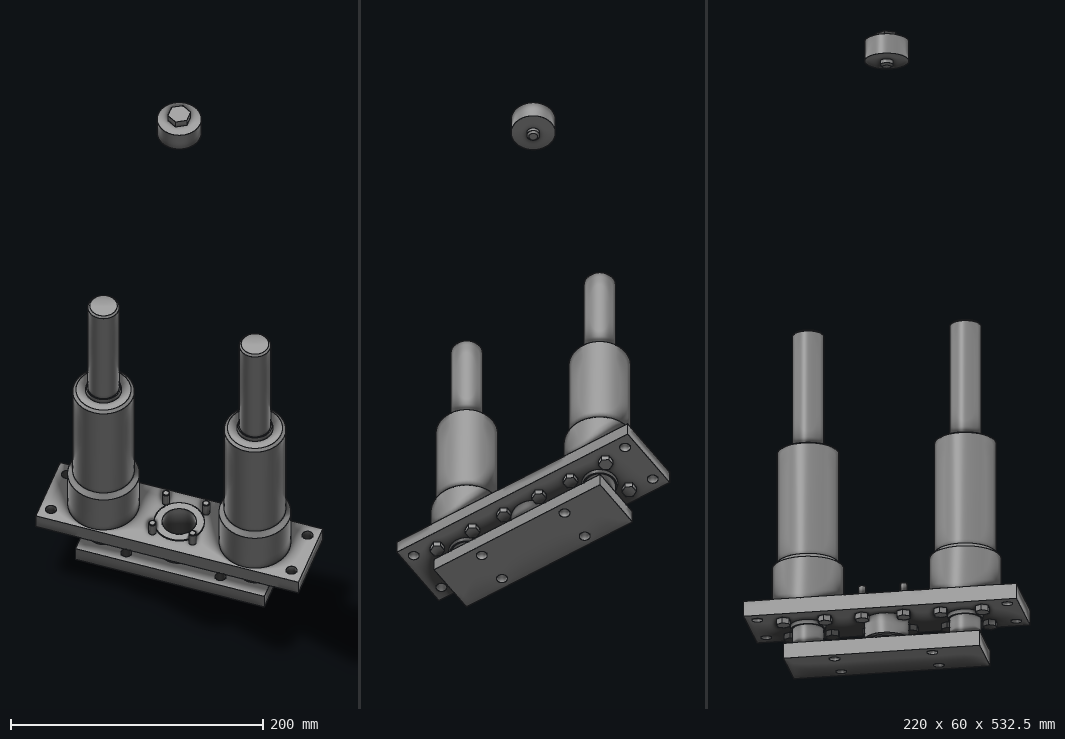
import cadquery as cq

MOVING_LENGTH = 158.0
MOVING_WIDTH = 46.5
PLATE_THICKNESS = 13.0
MOVING_HOLE_X = 39.5
MOVING_HOLE_Y = 14.5
PLATE_HOLE_DIAMETER = 8.5

ROD_X = 63.5
ROD_DIAMETER = 25.0
ROD_TOP = 282.0
ROD_CHAMFER = 1.5

PEDESTAL_DIAMETER = 21.0
PEDESTAL_TOP = 18.5

FIXED_LENGTH = 220.0
FIXED_WIDTH = 60.0
FIXED_BOTTOM = 35.0
FIXED_TOP = FIXED_BOTTOM + PLATE_THICKNESS
FIXED_HOLE_X = 100.5
FIXED_HOLE_Y = 19.5

BASE_DIAMETER = 57.0
BARREL_DIAMETER = 49.0
BASE_CHAMFER = (BASE_DIAMETER - BARREL_DIAMETER) / 2
BASE_TOP = 87.5
BARREL_TOP = 182.5
BARREL_BEVEL_HEIGHT = 1.5
BARREL_BEVEL_WIDTH = 2.5
SEAL_ROOT_DIAMETER = 29.0
SEAL_TIP_DIAMETER = 27.0
SEAL_HEIGHT = 3.0

BOSS_DIAMETER = 35.0
BOSS_BOTTOM = PEDESTAL_TOP
BOSS_BORE_DIAMETER = 27.0
RIM_DIAMETER = 40.0
RIM_HEIGHT = 1.0

SCREW_HEAD_FLATS = 10.0
SCREW_HEAD_HEIGHT = 5.0
SCREW_SHANK_DIAMETER = 6.0
SCREW_SHANK_TOP = 59.0
SCREW_TIP_CHAMFER = 0.5
SCREW_SPACING = 33.5

COUPLING_TOP = 532.5
COUPLING_DIAMETER = 35.0
COUPLING_HEIGHT = 16.5
HEX_ACROSS_FLATS = 16.0
HEX_HEIGHT = 6.0
PIN_DIAMETER = 10.0
PIN_HEIGHT = 5.0
PIN_CHAMFER = 1.5


def cylinder(diameter, bottom, top, x=0, y=0):
    """Upright cylinder between two heights."""
    return cq.Workplane("XY", origin=(x, y, bottom)).circle(diameter / 2).extrude(top - bottom)


def cone(bottom_diameter, top_diameter, bottom, top, x=0):
    """Upright truncated cone between two heights."""
    return (
        cq.Workplane("XY", origin=(x, 0, bottom))
        .circle(bottom_diameter / 2)
        .workplane(offset=top - bottom)
        .circle(top_diameter / 2)
        .loft()
    )


def hexagon(across_flats, height):
    """Upright hexagonal prism standing on Z = 0, two corners along Y."""
    return cq.Workplane("XY").polygon(6, across_flats, circumscribed=True).extrude(height)


def plate(length, width, bottom, hole_x, hole_y):
    """Centred rectangular plate with four through holes."""
    return (
        cq.Workplane("XY", origin=(0, 0, bottom))
        .rect(length, width)
        .extrude(PLATE_THICKNESS)
        .faces(">Z")
        .workplane()
        .rect(2 * hole_x, 2 * hole_y, forConstruction=True)
        .vertices()
        .hole(PLATE_HOLE_DIAMETER)
    )


def make_moving_plate():
    """Plate with the two guide rods and the centre pedestal."""
    body = plate(MOVING_LENGTH, MOVING_WIDTH, 0, MOVING_HOLE_X, MOVING_HOLE_Y)
    for x in (-ROD_X, ROD_X):
        rod = cylinder(ROD_DIAMETER, 0, ROD_TOP, x).faces(">Z").chamfer(ROD_CHAMFER)
        body = body.union(rod)
    return body.union(cylinder(PEDESTAL_DIAMETER, 0, PEDESTAL_TOP))


def bearing_barrel(x):
    """Stepped bearing barrel with a tapered seal at each end, still without its rod bore."""
    bevel_bottom = BARREL_TOP - BARREL_BEVEL_HEIGHT
    rim_diameter = BARREL_DIAMETER - 2 * BARREL_BEVEL_WIDTH
    base = cylinder(BASE_DIAMETER, FIXED_BOTTOM, BASE_TOP, x).faces(">Z").chamfer(BASE_CHAMFER)
    barrel = cylinder(BARREL_DIAMETER, FIXED_BOTTOM, bevel_bottom, x)
    bevel = cone(BARREL_DIAMETER, rim_diameter, bevel_bottom, BARREL_TOP, x)
    upper_seal = cone(SEAL_ROOT_DIAMETER, SEAL_TIP_DIAMETER, BARREL_TOP, BARREL_TOP + SEAL_HEIGHT, x)
    lower_seal = cone(SEAL_TIP_DIAMETER, SEAL_ROOT_DIAMETER, FIXED_BOTTOM - SEAL_HEIGHT, FIXED_BOTTOM, x)
    return base.union(barrel).union(bevel).union(upper_seal).union(lower_seal)


def screw_positions(x):
    """Corners of the square screw pattern centred on x."""
    half = SCREW_SPACING / 2
    return [(x + dx, dy) for dx in (-half, half) for dy in (-half, half)]


def make_guide_housing():
    """Fixed plate with bearing barrels, screws and the bored centre boss."""
    body = plate(FIXED_LENGTH, FIXED_WIDTH, FIXED_BOTTOM, FIXED_HOLE_X, FIXED_HOLE_Y)

    rim_top = FIXED_TOP + RIM_HEIGHT
    body = body.union(cylinder(BOSS_DIAMETER, BOSS_BOTTOM, FIXED_TOP))
    body = body.union(cylinder(RIM_DIAMETER, FIXED_BOTTOM, rim_top))
    body = body.cut(cylinder(BOSS_BORE_DIAMETER, BOSS_BOTTOM, rim_top))

    for x in (-ROD_X, ROD_X):
        body = body.union(bearing_barrel(x))

    head = hexagon(SCREW_HEAD_FLATS, SCREW_HEAD_HEIGHT)
    for centre in (-ROD_X, 0, ROD_X):
        for x, y in screw_positions(centre):
            body = body.union(head.translate((x, y, FIXED_BOTTOM - SCREW_HEAD_HEIGHT)))

    for x, y in screw_positions(0):
        shank = cylinder(SCREW_SHANK_DIAMETER, FIXED_BOTTOM, SCREW_SHANK_TOP, x, y)
        body = body.union(shank.faces(">Z").chamfer(SCREW_TIP_CHAMFER))

    for x in (-ROD_X, ROD_X):
        body = body.cut(cylinder(ROD_DIAMETER, 0, ROD_TOP, x))
    return body


def make_coupling():
    """Round coupling with a hexagon on top and a chamfered pin below."""
    body_top = COUPLING_TOP - HEX_HEIGHT
    body_bottom = body_top - COUPLING_HEIGHT
    body = cylinder(COUPLING_DIAMETER, body_bottom, body_top)
    drive = hexagon(HEX_ACROSS_FLATS, HEX_HEIGHT).translate((0, 0, body_top))
    pin = cylinder(PIN_DIAMETER, body_bottom - PIN_HEIGHT, body_bottom).faces("<Z").chamfer(PIN_CHAMFER)
    return body.union(drive).union(pin)


moving_plate = make_moving_plate()
guide_housing = make_guide_housing()
coupling = make_coupling()

result = cq.Compound.makeCompound([moving_plate.val(), guide_housing.val(), coupling.val()])